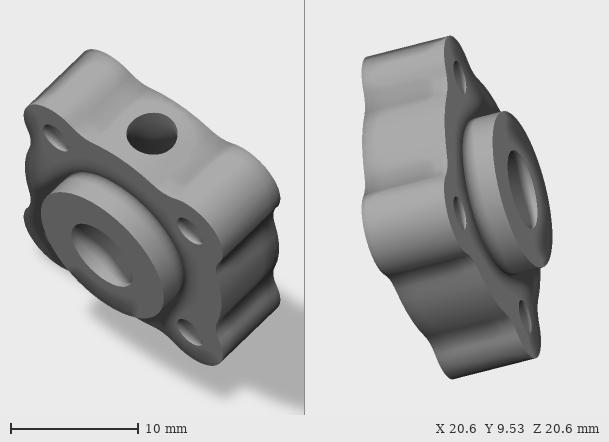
import cadquery as cq
import math

bolt_circle_diameter = 19.558
bolt_hole_diameter = 2.7
lobe_radius = 3.37
body_diameter = 20.32
blend_radius = 3.0
total_depth = 9.525
boss_depth = 2.54
boss_diameter = 12.7
bore_diameter = 6.35
set_screw_diameter = 4.03

body_depth = total_depth - boss_depth
body_radius = body_diameter / 2
lobe_distance = bolt_circle_diameter / 2
lobe_count = 4
lobe_spacing = 360 / lobe_count
lobe_angles = [(index + 0.5) * lobe_spacing for index in range(lobe_count)]


def polar(radius, angle):
    """Point at a radius and an angle in degrees from the hub axis."""
    return (radius * math.cos(math.radians(angle)), radius * math.sin(math.radians(angle)))


def point_toward(start, end, distance):
    """Point at a given distance from start on the line to end."""
    fraction = distance / math.dist(start, end)
    return tuple(a + (b - a) * fraction for a, b in zip(start, end))


blend_distance = body_radius + blend_radius
lobe_to_blend = lobe_radius + blend_radius
blend_offset_angle = math.degrees(math.acos(
    (blend_distance**2 + lobe_distance**2 - lobe_to_blend**2)
    / (2 * blend_distance * lobe_distance)
))


def add_blend(outline, lobe_angle, side, toward_lobe):
    """Continue the outline along the blend on one side of a lobe."""
    blend_angle = lobe_angle + side * blend_offset_angle
    center = polar(blend_distance, blend_angle)
    lobe_center = polar(lobe_distance, lobe_angle)
    body_point = polar(body_radius, blend_angle)
    lobe_point = point_toward(lobe_center, center, lobe_radius)
    chord_middle = tuple((a + b) / 2 for a, b in zip(body_point, lobe_point))
    middle = point_toward(center, chord_middle, blend_radius)
    end = lobe_point if toward_lobe else body_point
    return outline.threePointArc(middle, end)


def make_body():
    """Round body with four lobes, from the boss shoulder (Y = 0) to the back face."""
    start_angle = lobe_angles[0] - blend_offset_angle
    outline = cq.Workplane("XZ").moveTo(*polar(body_radius, start_angle))
    for angle in lobe_angles:
        outline = add_blend(outline, angle, -1, True)
        lobe_tip = polar(lobe_distance + lobe_radius, angle)
        lobe_end = point_toward(
            polar(lobe_distance, angle),
            polar(blend_distance, angle + blend_offset_angle),
            lobe_radius,
        )
        outline = outline.threePointArc(lobe_tip, lobe_end)
        outline = add_blend(outline, angle, 1, False)
        side_middle = polar(body_radius, angle + lobe_spacing / 2)
        side_end = polar(body_radius, angle + lobe_spacing - blend_offset_angle)
        outline = outline.threePointArc(side_middle, side_end)
    return outline.close().extrude(-body_depth)


def make_boss():
    """Round boss standing out from the front of the body toward -Y."""
    return cq.Workplane("XZ").circle(boss_diameter / 2).extrude(boss_depth)


def make_bore():
    """Shaft bore through the boss and the body."""
    back = cq.Workplane("XZ", origin=(0, body_depth, 0))
    return back.circle(bore_diameter / 2).extrude(total_depth)


def make_bolt_holes():
    """One through hole at the centre of each lobe."""
    centers = [polar(lobe_distance, angle) for angle in lobe_angles]
    return cq.Workplane("XZ").pushPoints(centers).circle(bolt_hole_diameter / 2).extrude(-body_depth)


def make_set_screw_hole():
    """Radial hole from the top of the body into the bore."""
    axis_plane = cq.Workplane("XY", origin=(0, body_depth / 2, 0))
    return axis_plane.circle(set_screw_diameter / 2).extrude(body_radius)


result = (
    make_body()
    .union(make_boss())
    .cut(make_bore())
    .cut(make_bolt_holes())
    .cut(make_set_screw_hole())
)